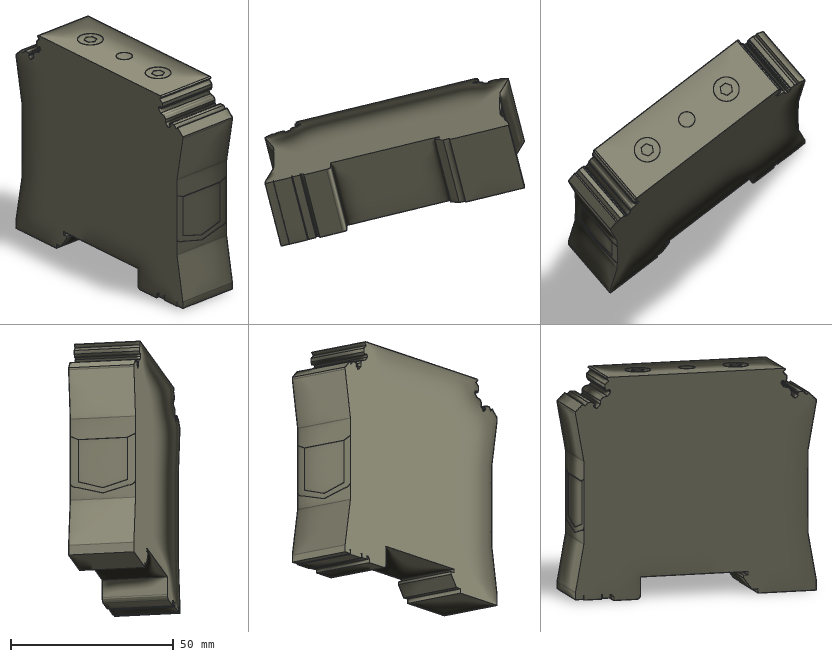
import cadquery as cq

LENGTH = 77.3
WIDTH = 20.5
HEIGHT = 70.0
HALF_LENGTH = LENGTH / 2
HALF_WIDTH = WIDTH / 2

FOOT_TOP = 3.1
WAIST_HALF_LENGTH = 35.95
WAIST_BOTTOM = 18.2
WAIST_TOP = 44.05
SHOULDER_BOTTOM = 59.1

RAIL_ROOF = 6.95
HOOK_ROOT_X = -16.6
HOOK_TIP_X = -15.2
HOOK_TOP = 5.9
HOOK_TIP_BOTTOM = 5.0
HOOK_FOOT_X = -17.9
LEFT_FOOT_X = -19.95
LEFT_FOOT_STEP = 1.4
RIGHT_FOOT_X = 17.8
RIGHT_FOOT_ROUND = 1.3
RELIEF_START_X = 26.35
RELIEF_END_X = 27.5
RELIEF_CHAMFER = 0.8
RELIEF_TOP = 1.9
LATCH_STEP = 0.85
LATCH_BOTTOM = 0.6
LATCH_START_X = 30.2
LATCH_END_X = 35.95
SLIT_TOP = 2.1
INNER_SLIT_WIDTH = 0.2
OUTER_SLIT_WIDTH = 0.1

SCREW_X = 15.7
SCREW_HEAD_DIAMETER = 8.0
SCREW_SOCKET_CORNERS = 4.0
PIN_DIAMETER = 5.0
MARK_DEPTH = 0.1
SOCKET_DEPTH = 2 * MARK_DEPTH

PANEL_HALF_WIDTH = 7.65
PANEL_TOP = 37.4
PANEL_CORNER = 24.0
PANEL_TIP = 21.7
FRAME_EDGE_TOP = 38.6
FRAME_EDGE_BOTTOM = 23.5
FRAME_CORNER_Y = 8.1
FRAME_CORNER = 22.2
FRAME_TIP = 20.0
FRAME_BEND = (9.5, 22.6)
FRAME_DEPTH = 0.1
PANEL_DEPTH = 2 * FRAME_DEPTH


def draw_shoulder(outline, side, segments):
    """Append shoulder segments, with X distances applied on the given side."""
    for *through, end in segments:
        end = (side * end[0], end[1])
        if through:
            middle = (side * through[0][0], through[0][1])
            outline = outline.threePointArc(middle, end)
        else:
            outline = outline.lineTo(*end)
    return outline


def reverse_path(start, segments):
    """Return the same path, running from its last point back to its start."""
    ends = [start] + [segment[-1] for segment in segments]
    backward = []
    for previous, segment in zip(reversed(ends[:-1]), reversed(segments)):
        backward.append((*segment[:-1], previous))
    return backward


SHOULDER_START = (HALF_LENGTH, SHOULDER_BOTTOM)
SHOULDER = [
    ((HALF_LENGTH, 59.75),),
    ((36.2, 62.1),),
    ((35.55, 61.45),),
    ((34.55, 62.45),),
    ((33.0, 62.45),),
    ((32.85, 62.1),),
    ((32.4, 62.1),),
    ((32.4, 61.8),),
    ((32.85, 61.4),),
    ((32.0, 60.5),),
    ((31.8, 60.5),),
    ((30.6, 61.7),),
    ((30.6, 62.8),),
    ((30.2, 63.5), (29.45, 63.9)),
    ((28.4, 64.15),),
    ((27.4, 65.3),),
    ((27.45, 65.85), (28.05, 66.2)),
    ((28.45, 65.8),),
    ((28.75, 65.8),),
    ((29.15, 66.6),),
    ((29.15, 67.8),),
    ((28.0, 68.9),),
    ((28.75, 69.7),),
    ((28.2, HEIGHT),),
]


def housing():
    """Extrude the side profile across the full width."""
    outline = (
        cq.Workplane("XZ", origin=(0, HALF_WIDTH, 0))
        .moveTo(-HALF_LENGTH, SHOULDER_BOTTOM)
    )
    outline = draw_shoulder(outline, -1, SHOULDER)
    outline = outline.lineTo(*SHOULDER[-1][-1])
    outline = draw_shoulder(outline, 1, reverse_path(SHOULDER_START, SHOULDER))
    outline = (
        outline
        .lineTo(WAIST_HALF_LENGTH, WAIST_TOP)
        .lineTo(WAIST_HALF_LENGTH, WAIST_BOTTOM)
        .lineTo(HALF_LENGTH, FOOT_TOP)
        .lineTo(HALF_LENGTH, LATCH_STEP)
        .lineTo(LATCH_END_X, LATCH_STEP)
        .lineTo(LATCH_END_X, LATCH_BOTTOM)
        .lineTo(LATCH_START_X, LATCH_BOTTOM)
        .lineTo(LATCH_START_X, LATCH_STEP)
        .lineTo(RELIEF_END_X, LATCH_STEP)
        .lineTo(RELIEF_END_X, RELIEF_TOP)
        .lineTo(RELIEF_START_X + RELIEF_CHAMFER, RELIEF_TOP)
        .lineTo(RELIEF_START_X, RELIEF_TOP - RELIEF_CHAMFER)
        .lineTo(RELIEF_START_X, 0)
        .lineTo(RIGHT_FOOT_X + RIGHT_FOOT_ROUND, 0)
        .radiusArc((RIGHT_FOOT_X, RIGHT_FOOT_ROUND), RIGHT_FOOT_ROUND)
        .lineTo(RIGHT_FOOT_X, RAIL_ROOF)
        .lineTo(HOOK_ROOT_X, RAIL_ROOF)
        .lineTo(HOOK_ROOT_X, HOOK_TOP)
        .lineTo(HOOK_TIP_X, HOOK_TOP)
        .lineTo(HOOK_TIP_X, HOOK_TIP_BOTTOM)
        .lineTo(HOOK_FOOT_X, LEFT_FOOT_STEP)
        .lineTo(LEFT_FOOT_X, LEFT_FOOT_STEP)
        .lineTo(LEFT_FOOT_X, 0)
        .lineTo(-HALF_LENGTH, 0)
        .lineTo(-HALF_LENGTH, FOOT_TOP)
        .lineTo(-WAIST_HALF_LENGTH, WAIST_BOTTOM)
        .lineTo(-WAIST_HALF_LENGTH, WAIST_TOP)
        .close()
    )
    return outline.extrude(WIDTH)


def latch_slit(start_x, width):
    """Thin slit running across the width, open at the underside."""
    slit = cq.Workplane("XY").box(width, WIDTH, SLIT_TOP, centered=(False, True, False))
    return slit.translate((start_x, 0, 0))


def top_marks():
    """Shallow recesses for the screw heads, their hex sockets and the pin."""
    top = cq.Workplane("XY", origin=(0, 0, HEIGHT))
    screw_places = [(-SCREW_X, 0), (SCREW_X, 0)]
    heads = top.pushPoints(screw_places).circle(SCREW_HEAD_DIAMETER / 2).extrude(-MARK_DEPTH)
    sockets = top.pushPoints(screw_places).polygon(6, SCREW_SOCKET_CORNERS).extrude(-SOCKET_DEPTH)
    pin = top.circle(PIN_DIAMETER / 2).extrude(-MARK_DEPTH)
    return heads.union(sockets).union(pin)


def wall_shield(side):
    """Shallow shield recess on one waist wall, a little deeper inside its frame."""
    bend_y, bend_z = FRAME_BEND
    wall = cq.Workplane("YZ", origin=(side * WAIST_HALF_LENGTH, 0, 0))
    frame = (
        wall.moveTo(-PANEL_HALF_WIDTH, PANEL_TOP)
        .lineTo(-HALF_WIDTH, FRAME_EDGE_TOP)
        .lineTo(-HALF_WIDTH, FRAME_EDGE_BOTTOM)
        .threePointArc((-bend_y, bend_z), (-FRAME_CORNER_Y, FRAME_CORNER))
        .lineTo(0, FRAME_TIP)
        .lineTo(FRAME_CORNER_Y, FRAME_CORNER)
        .threePointArc((bend_y, bend_z), (HALF_WIDTH, FRAME_EDGE_BOTTOM))
        .lineTo(HALF_WIDTH, FRAME_EDGE_TOP)
        .lineTo(PANEL_HALF_WIDTH, PANEL_TOP)
        .close()
        .extrude(-side * FRAME_DEPTH)
    )
    panel = (
        wall.moveTo(-PANEL_HALF_WIDTH, PANEL_TOP)
        .lineTo(-PANEL_HALF_WIDTH, PANEL_CORNER)
        .lineTo(0, PANEL_TIP)
        .lineTo(PANEL_HALF_WIDTH, PANEL_CORNER)
        .lineTo(PANEL_HALF_WIDTH, PANEL_TOP)
        .close()
        .extrude(-side * PANEL_DEPTH)
    )
    return frame.union(panel)


body = housing()
body = body.cut(latch_slit(LATCH_START_X - INNER_SLIT_WIDTH, INNER_SLIT_WIDTH))
body = body.cut(latch_slit(LATCH_END_X, OUTER_SLIT_WIDTH))
body = body.cut(top_marks())
for wall_side in (-1, 1):
    body = body.cut(wall_shield(wall_side))

result = body